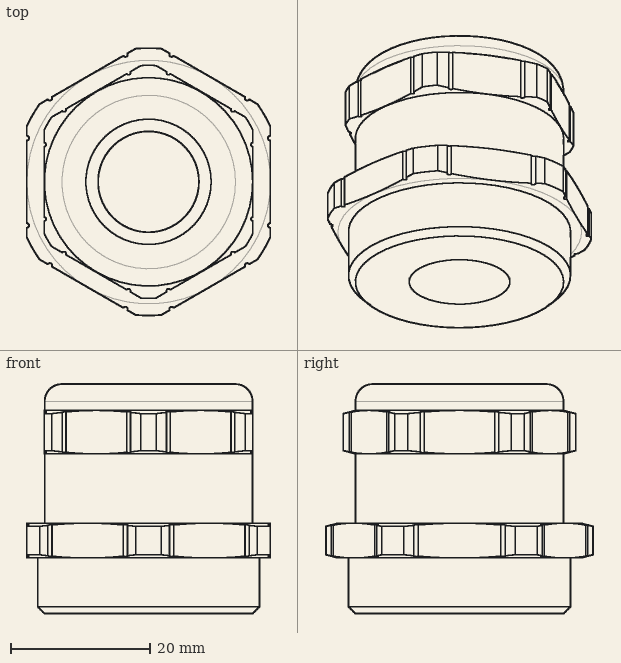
import cadquery as cq
import math

total_height = 33.0
flange_bottom = 8.0
flange_top = 13.0
nut_bottom = 22.97
nut_top = 29.2

base_diameter = 31.95
base_chamfer = 1.0
body_diameter = 29.95
crown_radius = 2.5

entry_diameter = 18.0
through_diameter = 14.45
bore_step_height = flange_top

flange_width = 35.0
flange_corner_diameter = 38.48
flange_groove_diameter = 0.65
flange_groove_offset = 6.27
nut_width = 30.0
nut_corner_diameter = 33.48
nut_groove_diameter = 0.58
nut_groove_offset = 5.35
hex_bevel_angle = 15.0
hex_sides = 6


def make_body():
    """Revolved body with a bevelled base and a rounded crown."""
    base_radius = base_diameter / 2
    body_radius = body_diameter / 2
    arc_centre_r = body_radius - crown_radius
    arc_centre_z = total_height - crown_radius
    arc_reach = crown_radius * math.sqrt(0.5)
    profile = (
        cq.Workplane("XZ")
        .lineTo(base_radius - base_chamfer, 0)
        .lineTo(base_radius, base_chamfer)
        .lineTo(base_radius, flange_bottom)
        .lineTo(body_radius, flange_bottom)
        .lineTo(body_radius, arc_centre_z)
        .threePointArc(
            (arc_centre_r + arc_reach, arc_centre_z + arc_reach),
            (arc_centre_r, total_height),
        )
        .lineTo(0, total_height)
        .close()
    )
    return profile.revolve(360, (0, 0, 0), (0, 1, 0))


def make_hexagon(bottom, top, width, corner_diameter, groove_diameter, groove_offset):
    """Hexagon with turned corners, bevelled rims and two grooves along each flat."""
    height = top - bottom
    flat_distance = width / 2
    corner_radius = corner_diameter / 2
    bevel_drop = (corner_radius - flat_distance) * math.tan(math.radians(hex_bevel_angle))

    hexagon = (
        cq.Workplane("XY")
        .workplane(offset=bottom)
        .transformed(rotate=(0, 0, 90))
        .polygon(hex_sides, width / math.cos(math.pi / hex_sides))
        .extrude(height)
    )
    envelope = (
        cq.Workplane("XZ")
        .moveTo(0, bottom)
        .lineTo(flat_distance, bottom)
        .lineTo(corner_radius, bottom + bevel_drop)
        .lineTo(corner_radius, top - bevel_drop)
        .lineTo(flat_distance, top)
        .lineTo(0, top)
        .close()
        .revolve(360, (0, 0, 0), (0, 1, 0))
    )
    hexagon = hexagon.intersect(envelope)

    groove_pair = (
        cq.Workplane("XY")
        .workplane(offset=bottom)
        .pushPoints([(flat_distance, -groove_offset), (flat_distance, groove_offset)])
        .circle(groove_diameter / 2)
        .extrude(height)
    )
    for side in range(hex_sides):
        angle = side * 360 / hex_sides
        hexagon = hexagon.cut(groove_pair.rotate((0, 0, 0), (0, 0, 1), angle))
    return hexagon


def make_bore():
    """Through hole with a wider entry from the top."""
    through_hole = cq.Workplane("XY").circle(through_diameter / 2).extrude(total_height)
    entry = (
        cq.Workplane("XY")
        .workplane(offset=bore_step_height)
        .circle(entry_diameter / 2)
        .extrude(total_height - bore_step_height)
    )
    return through_hole.union(entry)


flange = make_hexagon(
    flange_bottom,
    flange_top,
    flange_width,
    flange_corner_diameter,
    flange_groove_diameter,
    flange_groove_offset,
)
nut = make_hexagon(
    nut_bottom,
    nut_top,
    nut_width,
    nut_corner_diameter,
    nut_groove_diameter,
    nut_groove_offset,
)
result = make_body().union(flange).union(nut).cut(make_bore())